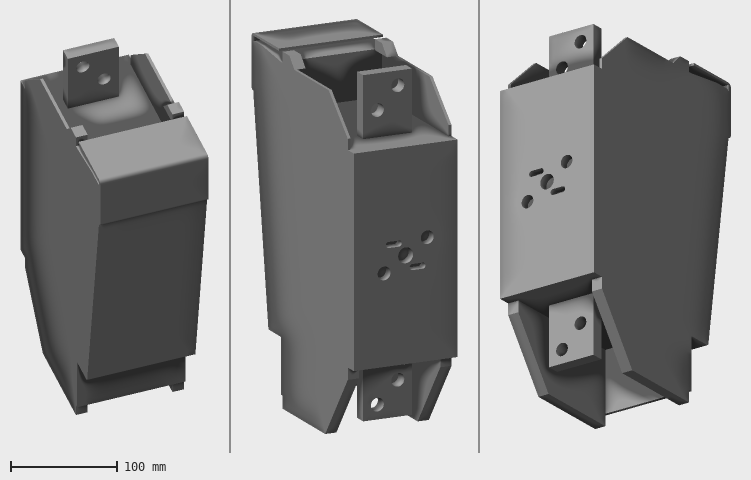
import cadquery as cq

WIDTH = 108.0
HOUSING_DEPTH = 158.5
BLOCK_BOTTOM = 78.5
BLOCK_TOP = 291.8
BLOCK_MIDDLE = (BLOCK_BOTTOM + BLOCK_TOP) / 2

WALL_SETBACK = 13.0
UPPER_WALL = 3.0
LOWER_WALL = 11.7
UPPER_WALL_TOP = 339.3
UPPER_SLOPE_START = 302.7
UPPER_SLOPE_END = 54.5
LOWER_SLOPE_START = 66.3
LOWER_SLOPE_END = 62.5
FRONT_STEP = 3.5

LUG_WIDTH = 11.7
LUG_TOP = 350.2
LUG_SLOPE_START = 129.5
LUG_SLOPE_END = 140.5

FRONT_PLATE_BOTTOM = 12.8

MOUNT_HOLE_DEPTH = 10.0
CENTRE_HOLE_DIAMETER = 15.5
SIDE_HOLE_DIAMETER = 13.5
SIDE_HOLE_Y = 22.5
SIDE_HOLE_Z = 15.0
SLOT_LENGTH = 16.5
SLOT_HEIGHT = 6.0
SLOT_OFFSET = 12.5

TERMINAL_BACK = 39.5
TERMINAL_THICKNESS = 13.0
TERMINAL_WIDTH = 51.0
UPPER_TERMINAL_TIP = 354.5
LOWER_TERMINAL_TIP = 15.0
TERMINAL_HOLE_DIAMETER = 13.5
TERMINAL_HOLE_Y = 10.5
NEAR_HOLE_INSET = 14.5
FAR_HOLE_INSET = 36.0

COVER_BOTTOM = 69.5
COVER_BOTTOM_FRONT = 186.0
COVER_FRONT = 218.7
COVER_SLOPE_TOP = 291.5
COVER_TOP = 344.2
COVER_TOP_START = 200.0
COVER_ROUND = 2.0

SHIELD_FRONT = 223.0
SHIELD_BACK = 162.7
SHIELD_BOTTOM = 295.0
SHIELD_TOP = 351.3
SHIELD_SHEET = 2.5
SHIELD_BEND_RADIUS = SHIELD_FRONT - COVER_FRONT
SHIELD_TIP_ROUND = 3.5


def across(points, width):
    """Extrude an XZ outline over a width centred on Y = 0."""
    return cq.Workplane("XZ").polyline(points).close().extrude(width / 2, both=True)


def block(x_range, width, z_range):
    """Box between two depths and two heights, centred on Y = 0."""
    (x0, x1), (z0, z1) = x_range, z_range
    return across([(x0, z0), (x1, z0), (x1, z1), (x0, z1)], width)


def housing_envelope():
    """Full-width side outline of the housing, lugs included."""
    lug_front = HOUSING_DEPTH - FRONT_STEP
    return across(
        [
            (0, BLOCK_BOTTOM),
            (WALL_SETBACK, BLOCK_BOTTOM),
            (WALL_SETBACK, LOWER_SLOPE_START),
            (LOWER_SLOPE_END, 0),
            (lug_front, 0),
            (lug_front, FRONT_PLATE_BOTTOM),
            (HOUSING_DEPTH, FRONT_PLATE_BOTTOM),
            (HOUSING_DEPTH, UPPER_WALL_TOP),
            (lug_front, UPPER_WALL_TOP),
            (lug_front, LUG_TOP),
            (LUG_SLOPE_END, LUG_TOP),
            (LUG_SLOPE_START, UPPER_WALL_TOP),
            (UPPER_SLOPE_END, UPPER_WALL_TOP),
            (WALL_SETBACK, UPPER_SLOPE_START),
            (WALL_SETBACK, BLOCK_TOP),
            (0, BLOCK_TOP),
        ],
        WIDTH,
    )


def housing_bays():
    """Space between the side walls: upper bay, gap between the lugs, lower bay."""
    upper_width = WIDTH - 2 * UPPER_WALL
    upper_bay = block((0, HOUSING_DEPTH), upper_width, (BLOCK_TOP, UPPER_WALL_TOP))
    lug_gap = block((0, HOUSING_DEPTH), WIDTH - 2 * LUG_WIDTH, (UPPER_WALL_TOP, LUG_TOP))
    lower_width = WIDTH - 2 * LOWER_WALL
    lower_bay = block((0, HOUSING_DEPTH - FRONT_STEP), lower_width, (0, BLOCK_BOTTOM))
    return [upper_bay, lug_gap, lower_bay]


def mounting_holes():
    """Blind holes and slots, drilled from the mounting face."""
    face = cq.Workplane("YZ", origin=(0, 0, BLOCK_MIDDLE))
    centre_hole = face.circle(CENTRE_HOLE_DIAMETER / 2).extrude(MOUNT_HOLE_DEPTH)
    side_holes = (
        face.pushPoints([(-SIDE_HOLE_Y, SIDE_HOLE_Z), (SIDE_HOLE_Y, -SIDE_HOLE_Z)])
        .circle(SIDE_HOLE_DIAMETER / 2)
        .extrude(MOUNT_HOLE_DEPTH)
    )
    slots = (
        face.pushPoints([(SLOT_OFFSET, SLOT_OFFSET), (-SLOT_OFFSET, -SLOT_OFFSET)])
        .slot2D(SLOT_LENGTH, SLOT_HEIGHT)
        .extrude(MOUNT_HOLE_DEPTH)
    )
    return [centre_hole, side_holes, slots]


def make_housing():
    housing = housing_envelope()
    for cutter in housing_bays() + mounting_holes():
        housing = housing.cut(cutter)
    return housing


def make_terminal(root, tip, upper_hole, lower_hole):
    """Flat bar standing on the block, with two through holes at the given heights."""
    depth_range = (TERMINAL_BACK, TERMINAL_BACK + TERMINAL_THICKNESS)
    bar = block(depth_range, TERMINAL_WIDTH, sorted((root, tip)))
    holes = (
        cq.Workplane("YZ", origin=(TERMINAL_BACK, 0, 0))
        .pushPoints([(-TERMINAL_HOLE_Y, upper_hole), (TERMINAL_HOLE_Y, lower_hole)])
        .circle(TERMINAL_HOLE_DIAMETER / 2)
        .extrude(TERMINAL_THICKNESS)
    )
    return bar.cut(holes)


def make_terminals():
    """One terminal above the block and one below it."""
    upper_end = UPPER_TERMINAL_TIP
    lower_end = LOWER_TERMINAL_TIP
    return [
        make_terminal(BLOCK_TOP, upper_end, upper_end - NEAR_HOLE_INSET, upper_end - FAR_HOLE_INSET),
        make_terminal(BLOCK_BOTTOM, lower_end, lower_end + FAR_HOLE_INSET, lower_end + NEAR_HOLE_INSET),
    ]


def make_cover():
    cover = across(
        [
            (HOUSING_DEPTH, COVER_BOTTOM),
            (COVER_BOTTOM_FRONT, COVER_BOTTOM),
            (COVER_FRONT, COVER_SLOPE_TOP),
            (COVER_FRONT, COVER_TOP),
            (COVER_TOP_START, COVER_TOP),
            (HOUSING_DEPTH, UPPER_WALL_TOP),
        ],
        WIDTH,
    )
    for corner in ((COVER_BOTTOM_FRONT, 0, COVER_BOTTOM), (COVER_FRONT, 0, COVER_TOP)):
        cover = cover.edges(cq.selectors.NearestToPointSelector(corner)).fillet(COVER_ROUND)
    return cover


def make_shield():
    """Upright leg against the cover's front, and a flat leg reaching back over its top."""
    shield = across(
        [
            (COVER_FRONT, SHIELD_BOTTOM),
            (SHIELD_FRONT, SHIELD_BOTTOM),
            (SHIELD_FRONT, SHIELD_TOP),
            (SHIELD_BACK, SHIELD_TOP),
            (SHIELD_BACK, SHIELD_TOP - SHIELD_SHEET),
            (COVER_FRONT, SHIELD_TOP - SHIELD_SHEET),
        ],
        WIDTH,
    )
    rounded_bend = shield.edges(">X and >Z").fillet(SHIELD_BEND_RADIUS)
    return rounded_bend.faces(">X").edges("<Z").fillet(SHIELD_TIP_ROUND)


housing = make_housing()
terminals = make_terminals()
cover = make_cover()
shield = make_shield()

result = cq.Compound.makeCompound(
    [
        housing.val(),
        *[terminal.val() for terminal in terminals],
        cover.val(),
        shield.val(),
    ]
)